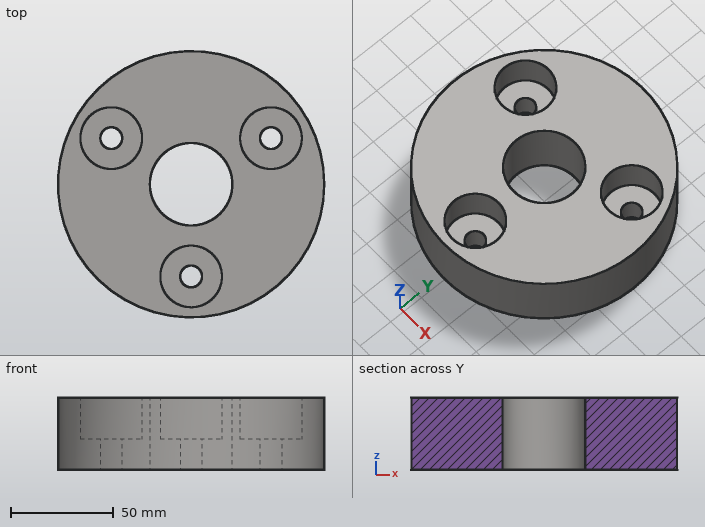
import math

import cadquery as cq

DISC_DIAMETER = 129.5
DISC_HEIGHT = 35.2

BORE_DIAMETER = 40.0

BOLT_COUNT = 3
BOLT_CIRCLE_RADIUS = 44.8
FIRST_BOLT_ANGLE = -90.0
BOLT_HOLE_DIAMETER = 10.5
COUNTERBORE_DIAMETER = 30.0
COUNTERBORE_DEPTH = 20.2


def bolt_positions():
    """Return the bolt hole centres, the first one on the -Y axis."""
    step = 360.0 / BOLT_COUNT
    angles = [math.radians(FIRST_BOLT_ANGLE + i * step) for i in range(BOLT_COUNT)]
    return [
        (BOLT_CIRCLE_RADIUS * math.cos(angle), BOLT_CIRCLE_RADIUS * math.sin(angle))
        for angle in angles
    ]


def make_disc():
    """Return the plain disc, standing on the XY plane."""
    return cq.Workplane("XY").circle(DISC_DIAMETER / 2).extrude(DISC_HEIGHT)


def cut_bore(body):
    """Cut the central bore through the disc."""
    return body.faces(">Z").workplane(origin=(0, 0, 0)).hole(BORE_DIAMETER)


def cut_bolt_holes(body):
    """Cut the bolt holes, counterbored from the top face."""
    return (
        body.faces(">Z")
        .workplane(origin=(0, 0, 0))
        .pushPoints(bolt_positions())
        .cboreHole(BOLT_HOLE_DIAMETER, COUNTERBORE_DIAMETER, COUNTERBORE_DEPTH)
    )


result = cut_bolt_holes(cut_bore(make_disc()))